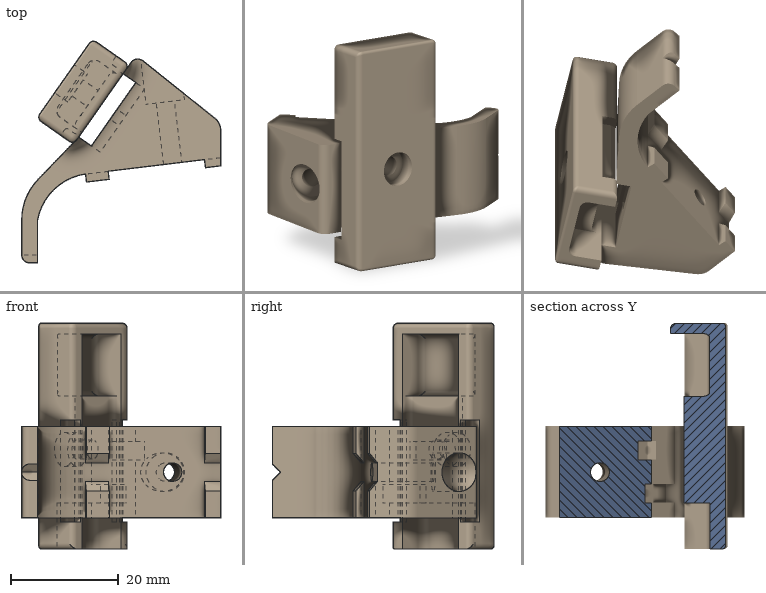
import cadquery as cq
import math

box_turn = 55.0
box_front_x = 14.83
box_front_y = 29.4
turn = math.radians(box_turn)
box_frame = cq.Plane(
    origin=(box_front_x, box_front_y, 0),
    xDir=(math.cos(turn), math.sin(turn), 0),
    normal=(math.sin(turn), -math.cos(turn), 0),
)

box_length = 18.0
box_depth = 8.4
box_height = 42.0
edge_round = 1.0
back_edge_round = 0.5
wall = 2.7
top_wall = 2.0
boss_bottom = 8.55
boss_top = 28.45
upper_pocket_depth = 6.05
boss_recess_depth = 2.0
lower_pocket_depth = 6.43
pocket_round = 1.0
lower_pocket_round = 1.5
screw_hole_diameter = 3.6
screw_head_diameter = 6.4
screw_head_depth = 3.0

notch_bottom = 5.05
notch_height = 19.0
notch_depth = 2.95
notch_mouth = 2.2
notch_width = 1.75
lead_in_depth = 1.0
notch_round = 0.5

bracket_bottom = 5.8
bracket_height = 17.0
bracket_right = 37.0
leg_thickness = 3.0
leg_straight = 8.02
leg_inner_radius = 10.6
leg_outer_radius = 10.75
leg_tip_round = 1.5
slot_width = 14.35
slot_depth = 2.85
slot_shift = -0.15
slant_angle = 38.6
slant_corner_y = 26.0
top_round = 1.5
right_round = 3.0

underside_angle = 6.9
underside_x = 11.85
underside_y = 16.5
foot_depth = 1.5
left_foot_length = 4.3
foot_span = 22.25
foot_gap_base = 3.4
foot_gap_mouth = 7.0
bracket_hole_diameter = 3.4
bracket_hole_place = 16.35
bracket_head_diameter = 7.2
bracket_head_level = 11.5
tip_groove_depth = 1.5
cut_through = 42.0

nut_recess_height = 3.4
nut_recess_spacing = 8.0
nut_recess_length = 8.3
nut_recess_depth = 2.0

bracket_middle = bracket_bottom + bracket_height / 2



def front_pocket(x_min, x_max, y_min, y_max, depth):
    """Block that reaches from the box front (z = 0) down to the given depth."""
    return cq.Workplane("XY").box(
        x_max - x_min, y_max - y_min, depth, centered=False
    ).translate((x_min, y_min, -depth))


def rounded_block():
    """Outer block of the box; only the lower front edge stays sharp."""
    block = front_pocket(-box_length / 2, box_length / 2, 0, box_height, box_depth)
    block = block.edges("|Y or |Z or (|X and >Y and >Z)").fillet(edge_round)
    return block.edges("|X and <Z").fillet(back_edge_round)


def pockets():
    """Upper, boss and lower pockets; the lower one opens through the bottom."""
    half = box_length / 2 - wall
    upper = front_pocket(-half, half, boss_top, box_height - top_wall, upper_pocket_depth)
    upper = upper.faces("<Z").edges().fillet(pocket_round)
    middle = front_pocket(-half, half, boss_bottom, boss_top, boss_recess_depth)
    middle = middle.faces("<Z").edges("|Y").fillet(pocket_round)
    lower = front_pocket(-half, half, 0, boss_bottom, lower_pocket_depth)
    lower = lower.faces("<Z").edges("|Y").fillet(lower_pocket_round)
    return [upper, middle, lower]


def side_notch():
    """Notch in the low-x end wall: sloped lead-in, straight side, rounded floor corner."""
    end = -box_length / 2
    return (
        cq.Workplane("XZ", origin=(0, notch_bottom, 0))
        .moveTo(end, 0)
        .lineTo(end + notch_mouth, 0)
        .lineTo(end + notch_width, -lead_in_depth)
        .lineTo(end + notch_width, notch_round - notch_depth)
        .radiusArc((end + notch_width - notch_round, -notch_depth), notch_round)
        .lineTo(end, -notch_depth)
        .close()
        .extrude(-notch_height)
    )


def screw_hole():
    """Screw hole through the boss, counterbored from the back of the box."""
    boss_middle = (boss_bottom + boss_top) / 2
    back = cq.Workplane("XY", origin=(0, boss_middle, -box_depth))
    hole = back.circle(screw_hole_diameter / 2).extrude(box_depth)
    head = back.circle(screw_head_diameter / 2).extrude(screw_head_depth)
    return hole.union(head)


def make_box():
    box = rounded_block()
    for pocket in pockets():
        box = box.cut(pocket)
    notch = side_notch()
    box = box.cut(notch).cut(notch.mirror("YZ")).cut(screw_hole())
    return box.val().moved(cq.Location(box_frame))


def from_box_frame(along, out):
    """X and Y of a point given along the box and outward from its front."""
    point = box_frame.toWorldCoords((along, 0, out))
    return (point.x, point.y)


def from_underside(along, down):
    """X and Y of a point given along the underside and downward from it."""
    tilt = math.radians(underside_angle)
    x = underside_x + along * math.cos(tilt) + down * math.sin(tilt)
    y = underside_y + along * math.sin(tilt) - down * math.cos(tilt)
    return (x, y)


def at_right_side(down):
    """Point where the underside, lowered by the given amount, meets the right side."""
    tilt = math.radians(underside_angle)
    along = (bracket_right - underside_x - down * math.sin(tilt)) / math.cos(tilt)
    return from_underside(along, down)


def slant_meets_box_front():
    """Corner where the slanted side meets the plane of the box front."""
    slope = math.tan(math.radians(slant_angle))
    rise = math.tan(turn)
    x = (slant_corner_y + slope * bracket_right - box_front_y + rise * box_front_x) / (rise + slope)
    return (x, slant_corner_y + slope * (bracket_right - x))


def outer_bend_end(tip):
    """End of the outer bend, from which a straight side runs tangent to the slot tip."""
    to_tip_x = tip[0] - leg_outer_radius
    to_tip_y = tip[1] - leg_straight
    direction = math.atan2(to_tip_y, to_tip_x)
    spread = math.acos(leg_outer_radius / math.hypot(to_tip_x, to_tip_y))
    angle = direction + spread
    return (
        leg_outer_radius * (1 + math.cos(angle)),
        leg_straight + leg_outer_radius * math.sin(angle),
    )


def bracket_body():
    slot_low = slot_shift - slot_width / 2
    slot_high = slot_shift + slot_width / 2
    low_tip = from_box_frame(slot_low, 0)
    top_corner = slant_meets_box_front()
    right_corner = (bracket_right, slant_corner_y)
    body = (
        cq.Workplane("XY", origin=(0, 0, bracket_bottom))
        .moveTo(0, 0)
        .lineTo(0, leg_straight)
        .radiusArc(outer_bend_end(low_tip), leg_outer_radius)
        .lineTo(*low_tip)
        .lineTo(*from_box_frame(slot_low, slot_depth))
        .lineTo(*from_box_frame(slot_high, slot_depth))
        .lineTo(*from_box_frame(slot_high, 0))
        .lineTo(*top_corner)
        .lineTo(*right_corner)
        .lineTo(*at_right_side(foot_depth))
        .lineTo(*from_underside(foot_span, foot_depth))
        .lineTo(*from_underside(foot_span, 0))
        .lineTo(*from_underside(left_foot_length, 0))
        .lineTo(*from_underside(left_foot_length, foot_depth))
        .lineTo(*from_underside(0, foot_depth))
        .lineTo(*from_underside(0, 0))
        .radiusArc((leg_thickness, leg_straight), -leg_inner_radius)
        .lineTo(leg_thickness, 0)
        .close()
        .extrude(bracket_height)
    )
    for corner, radius in (
        ((0, 0), leg_tip_round),
        (top_corner, top_round),
        (right_corner, right_round),
    ):
        body = body.edges(cq.NearestToPointSelector((*corner, bracket_middle))).fillet(radius)
    return body


def foot_groove():
    """Tapered groove that splits both feet; it is as deep as the feet are tall."""
    tilt = math.radians(underside_angle)
    across_feet = cq.Plane(
        origin=(underside_x, underside_y, bracket_middle),
        xDir=(0, 0, 1),
        normal=(math.cos(tilt), math.sin(tilt), 0),
    )
    return (
        cq.Workplane(across_feet)
        .moveTo(-foot_gap_base / 2, 0)
        .lineTo(foot_gap_base / 2, 0)
        .lineTo(foot_gap_mouth / 2, foot_depth)
        .lineTo(-foot_gap_mouth / 2, foot_depth)
        .close()
        .extrude((bracket_right - underside_x) / math.cos(tilt))
    )


def tip_groove():
    """V groove with 45 degree sides across the tip of the leg."""
    return (
        cq.Workplane("YZ")
        .moveTo(0, bracket_middle - tip_groove_depth)
        .lineTo(tip_groove_depth, bracket_middle)
        .lineTo(0, bracket_middle + tip_groove_depth)
        .close()
        .extrude(leg_thickness)
    )


def bracket_hole():
    """Hole square to the underside, counterbored from the slanted side."""
    tilt = math.radians(underside_angle)
    entry = cq.Plane(
        origin=(*from_underside(bracket_hole_place, 0), bracket_middle),
        xDir=(0, 0, 1),
        normal=(-math.sin(tilt), math.cos(tilt), 0),
    )
    hole = cq.Workplane(entry).circle(bracket_hole_diameter / 2).extrude(cut_through)
    head = (
        cq.Workplane(entry)
        .workplane(offset=bracket_head_level)
        .circle(bracket_head_diameter / 2)
        .extrude(cut_through)
    )
    return hole.union(head)


def nut_recess(along, up):
    """Flat recess in the slot floor, centred at a place along the slot and above its middle."""
    floor = cq.Plane(
        origin=(*from_box_frame(slot_shift + along, slot_depth), bracket_middle + up),
        xDir=box_frame.xDir,
        normal=box_frame.zDir,
    )
    return cq.Workplane(floor).rect(nut_recess_length, nut_recess_height).extrude(nut_recess_depth)


def make_bracket():
    bracket = bracket_body().cut(foot_groove()).cut(tip_groove()).cut(bracket_hole())
    recess_offset = (slot_width - nut_recess_length) / 2
    for side in (-1, 1):
        bracket = bracket.cut(nut_recess(side * recess_offset, side * nut_recess_spacing / 2))
    return bracket.val()


result = cq.Compound.makeCompound([make_box(), make_bracket()])